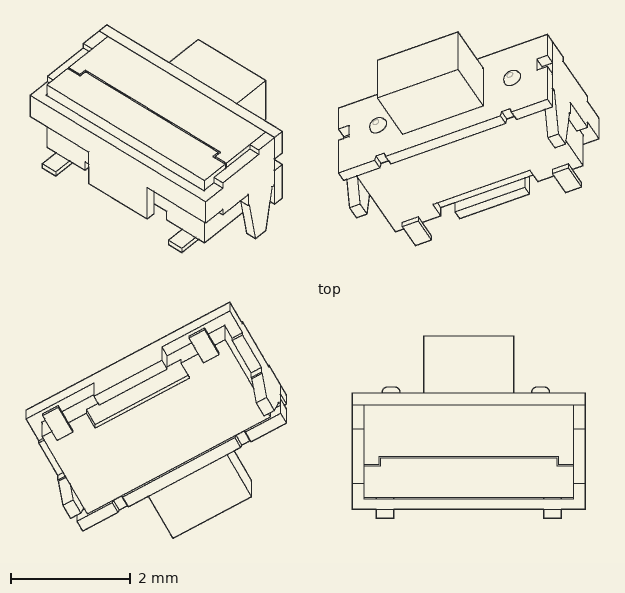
import cadquery as cq


width = 3.9
top_z = 2.0
base_bottom_z = 0.55
frame_depth = 1.75

wall = 0.2
front_wall = 0.18
front_top_z = 1.78
front_bottom_z = 1.285
front_strip_depth = 0.435
arm_ledge_z = 1.9
arm_ledge_back_y = 1.35
arm_bottom_z = 1.16
arm_root_front_y = 1.09
leg_top_z = 0.897
leg_center_y = 1.4
leg_root_half = 0.29
leg_tip_half = 0.133
tongue_width = 1.303

plate_thickness = 0.2
plate_back_y = frame_depth + plate_thickness
plate_bottom_z = 0.45
side_notch_depth = wall
side_notch_bottom_z = 1.232
side_notch_top_z = 1.498
foot_notch_top_z = 0.54
foot_notch_inner_x = 1.095
foot_notch_slant = 0.025
bump_radius = 0.152
bump_height = 0.1
bump_z = side_notch_bottom_z
bump_fillet = 0.098
bump_xs = (-1.3, 1.2)

plunger_width = 1.505
plunger_length = 0.95
plunger_bottom_z = 0.83
plunger_top_z = 1.73

body_width = width - 2 * wall
joint_gap = 0.027
base_shoulder_y = 0.725
base_rise_y = 0.86
base_rise_width = 2.95
cover_bottom_z = front_bottom_z
recess_width = 1.81
recess_top_z = 0.75
recess_depth = 0.3

terminal_width = 0.3
terminal_center_x = 1.4
terminal_front_y = -0.15
terminal_back_y = 0.35
foot_notch_outer_x = terminal_center_x - terminal_width / 2


def block(x_range, y_range, z_range):
    """Box given by its start and end along each axis."""
    spans = [end - start for start, end in (x_range, y_range, z_range)]
    corner = (x_range[0], y_range[0], z_range[0])
    return cq.Workplane("XY").box(*spans, centered=False).translate(corner)


def centered_block(x_size, y_range, z_range):
    """Box that is symmetric about X = 0."""
    return block((-x_size / 2, x_size / 2), y_range, z_range)


def make_arm(start_x):
    """Side arm with its tapered leg, extruded by the wall thickness in +X."""
    outline = [
        (0, front_bottom_z),
        (front_strip_depth, front_bottom_z),
        (front_strip_depth, arm_bottom_z),
        (arm_root_front_y, arm_bottom_z),
        (arm_root_front_y, leg_top_z),
        (leg_center_y - leg_root_half, leg_top_z),
        (leg_center_y - leg_tip_half, 0),
        (leg_center_y + leg_tip_half, 0),
        (leg_center_y + leg_root_half, leg_top_z),
        (frame_depth, leg_top_z),
        (frame_depth, top_z),
        (arm_ledge_back_y, top_z),
        (arm_ledge_back_y, arm_ledge_z),
        (front_strip_depth, arm_ledge_z),
        (front_strip_depth, front_top_z),
        (0, front_top_z),
    ]
    return cq.Workplane("YZ", origin=(start_x, 0, 0)).polyline(outline).close().extrude(wall)


def make_frame():
    """Front wall with a hanging tongue, and an arm with a leg on each side."""
    front = centered_block(width, (0, front_wall), (front_bottom_z, front_top_z))
    tongue = centered_block(tongue_width, (0, front_wall), (base_bottom_z, front_bottom_z))
    frame = front.union(tongue)
    for start_x in (-width / 2, width / 2 - wall):
        frame = frame.union(make_arm(start_x))
    return frame


def make_bump(center_x):
    """Round-edged button standing on the back of the rear plate."""
    bump = cq.Workplane("XY").circle(bump_radius).extrude(bump_height)
    bump = bump.faces(">Z").edges().fillet(bump_fillet)
    bump = bump.rotate((0, 0, 0), (1, 0, 0), -90)
    return bump.translate((center_x, plate_back_y, bump_z))


def make_foot_notch(side):
    """Slant-sided notch in the bottom edge of the rear plate, on one side."""
    outline = [
        (side * foot_notch_inner_x, foot_notch_top_z),
        (side * foot_notch_outer_x, foot_notch_top_z),
        (side * (foot_notch_outer_x + foot_notch_slant), plate_bottom_z),
        (side * (foot_notch_inner_x - foot_notch_slant), plate_bottom_z),
    ]
    back_plane = cq.Workplane("XZ", origin=(0, plate_back_y, 0))
    return back_plane.polyline(outline).close().extrude(plate_thickness)


def make_rear_plate():
    """Plate across the back, notched at its sides and bottom, with two bumps."""
    y_range = (frame_depth, plate_back_y)
    notch_z_range = (side_notch_bottom_z, side_notch_top_z)
    plate = centered_block(width, y_range, (plate_bottom_z, top_z))
    for start_x in (-width / 2, width / 2 - side_notch_depth):
        plate = plate.cut(block((start_x, start_x + side_notch_depth), y_range, notch_z_range))
    for side in (-1, 1):
        plate = plate.cut(make_foot_notch(side))
    for center_x in bump_xs:
        plate = plate.union(make_bump(center_x))
    return plate


def make_plunger():
    """Push button standing on the back of the rear plate."""
    y_range = (plate_back_y, plate_back_y + plunger_length)
    return centered_block(plunger_width, y_range, (plunger_bottom_z, plunger_top_z))


def make_base():
    """Lower housing with a stepped upper block at the front and a recess below."""
    floor = centered_block(body_width, (wall, frame_depth), (base_bottom_z, cover_bottom_z))
    upper_z_range = (cover_bottom_z, top_z)
    upper = centered_block(body_width, (wall, base_shoulder_y), upper_z_range)
    rise = centered_block(base_rise_width, (wall, base_rise_y), upper_z_range)
    recess = centered_block(recess_width, (wall, wall + recess_depth), (base_bottom_z, recess_top_z))
    return floor.union(upper).union(rise).cut(recess)


def make_cover():
    """Rear top block on the base, kept clear of the base's upper block."""
    z_range = (cover_bottom_z, top_z)
    cover = centered_block(body_width, (base_shoulder_y + joint_gap, frame_depth), z_range)
    clearance = centered_block(base_rise_width + 2 * joint_gap, (wall, base_rise_y + joint_gap), z_range)
    return cover.cut(clearance)


def make_terminal(center_x):
    """Flat solder terminal under the front of the base."""
    x_range = (center_x - terminal_width / 2, center_x + terminal_width / 2)
    return block(x_range, (terminal_front_y, terminal_back_y), (plate_bottom_z, base_bottom_z))


frame = make_frame()
rear_plate = make_rear_plate()
plunger = make_plunger()
base = make_base()
cover = make_cover()
terminals = [make_terminal(side * terminal_center_x) for side in (-1, 1)]

result = cq.Compound.makeCompound([
    frame.val(),
    rear_plate.val(),
    plunger.val(),
    base.val(),
    cover.val(),
    *[terminal.val() for terminal in terminals],
])